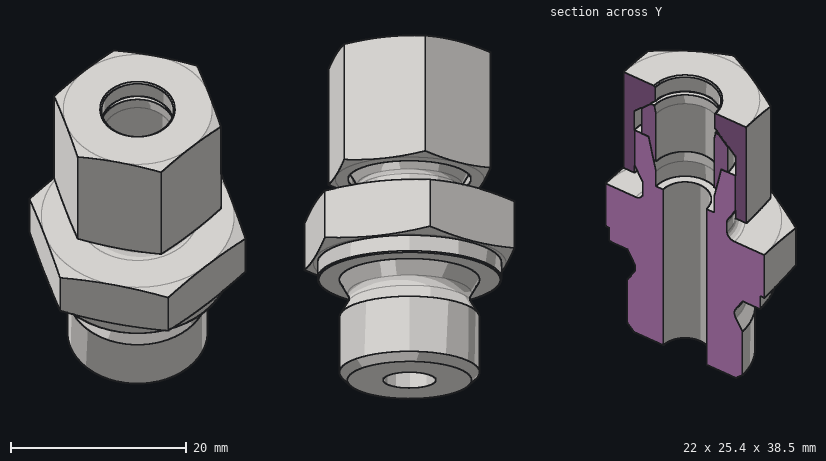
import cadquery as cq
import math


STUD_LENGTH = 12.0
FLANGE_HEIGHT = 2.0
HEX_HEIGHT = 6.5
CONE_STUB_LENGTH = 10.0
flange_top = STUD_LENGTH + FLANGE_HEIGHT
hex_top = flange_top + HEX_HEIGHT
body_top = hex_top + CONE_STUB_LENGTH

STUD_RADIUS = 16.0 / 2
STUD_CHAMFER = 0.92
FLANGE_RADIUS = 21.0 / 2
FLANGE_CHAMFER = 0.15
GROOVE_WIDTH = 4.5
GROOVE_FILLET = 1.22
RELIEF_ANGLE = math.radians(30.0)

BODY_HEX_FLATS = 22.0
NUT_HEX_FLATS = 17.0
HEX_CHAMFER_ANGLE = math.radians(15.0)

STUB_RADIUS = 14.0 / 2
NECK_RADIUS = 11.7 / 2
NECK_FILLET = 1.0
NECK_STRAIGHT = 1.37

BORE_RADIUS = 6.0 / 2
TUBE_RADIUS = 8.0 / 2
SOCKET_DEPTH = 7.0
MOUTH_RADIUS = 10.0 / 2
MOUTH_ANGLE = math.radians(12.0)

NUT_BOTTOM = 24.0
NUT_HEIGHT = 14.5
NUT_BORE_RADIUS = 4.1
NUT_BORE_DEPTH = 2.3
NUT_RIM_CHAMFER = 0.18
nut_top = NUT_BOTTOM + NUT_HEIGHT
nut_seat_top = nut_top - NUT_BORE_DEPTH

RING_COLLAR_RADIUS = 12.0 / 2
RING_GAP = 0.65
RING_LEAD_RADIUS = 4.22
RING_LEAD_DEPTH = 1.1
RING_NOSE_RADIUS = 4.3


def revolve_z(profile):
    """Turn a closed (radius, height) profile about the Z axis."""
    return profile.close().revolve(360, (0, 0, 0), (0, 1, 0))


def profile_from(radius, height):
    return cq.Workplane("XZ").moveTo(radius, height)


def chamfered_hexagon(flats, bottom, height):
    """Hexagon with two flats facing +X and -X, its corners turned off at both ends."""
    inscribed = flats / 2
    corner = inscribed / math.cos(math.radians(30))
    drop = (corner - inscribed) * math.tan(HEX_CHAMFER_ANGLE)
    top = bottom + height
    prism = (
        cq.Workplane("XY", origin=(0, 0, bottom))
        .polygon(6, 2 * corner)
        .extrude(height)
        .rotate((0, 0, 0), (0, 0, 1), 30)
    )
    turned = revolve_z(
        profile_from(0, bottom)
        .lineTo(inscribed, bottom)
        .lineTo(corner, bottom + drop)
        .lineTo(corner, top - drop)
        .lineTo(inscribed, top)
        .lineTo(0, top)
    )
    return prism.intersect(turned)


def make_stud():
    """Stud and flange, with a rounded V groove between them."""
    groove_middle = STUD_LENGTH - GROOVE_WIDTH / 2
    apex_radius = STUD_RADIUS - GROOVE_WIDTH / 2 * math.tan(RELIEF_ANGLE)
    arc_center_radius = apex_radius + GROOVE_FILLET / math.cos(RELIEF_ANGLE)
    arc_end_radius = arc_center_radius - GROOVE_FILLET * math.cos(RELIEF_ANGLE)
    arc_half_height = GROOVE_FILLET * math.sin(RELIEF_ANGLE)
    return revolve_z(
        profile_from(0, 0)
        .lineTo(STUD_RADIUS - STUD_CHAMFER, 0)
        .lineTo(STUD_RADIUS, STUD_CHAMFER)
        .lineTo(STUD_RADIUS, STUD_LENGTH - GROOVE_WIDTH)
        .lineTo(arc_end_radius, groove_middle - arc_half_height)
        .threePointArc(
            (arc_center_radius - GROOVE_FILLET, groove_middle),
            (arc_end_radius, groove_middle + arc_half_height),
        )
        .lineTo(STUD_RADIUS, STUD_LENGTH)
        .lineTo(FLANGE_RADIUS - FLANGE_CHAMFER, STUD_LENGTH)
        .lineTo(FLANGE_RADIUS, STUD_LENGTH + FLANGE_CHAMFER)
        .lineTo(FLANGE_RADIUS, flange_top)
        .lineTo(0, flange_top)
    )


def make_stub():
    """Threaded stub, with a filleted relief neck just above the hexagon."""
    neck_bottom = hex_top + NECK_FILLET
    neck_top = neck_bottom + NECK_STRAIGHT
    arc_center_radius = NECK_RADIUS + NECK_FILLET

    def neck_arc_point(angle, height):
        return (
            arc_center_radius - NECK_FILLET * math.cos(angle),
            height + NECK_FILLET * math.sin(angle),
        )

    flank_start = neck_arc_point(RELIEF_ANGLE, neck_top)
    flank_top = flank_start[1] + (STUB_RADIUS - flank_start[0]) / math.tan(RELIEF_ANGLE)
    return revolve_z(
        profile_from(0, hex_top)
        .lineTo(arc_center_radius, hex_top)
        .threePointArc(neck_arc_point(-math.pi / 4, neck_bottom), (NECK_RADIUS, neck_bottom))
        .lineTo(NECK_RADIUS, neck_top)
        .threePointArc(neck_arc_point(RELIEF_ANGLE / 2, neck_top), flank_start)
        .lineTo(STUB_RADIUS, flank_top)
        .lineTo(STUB_RADIUS, body_top)
        .lineTo(0, body_top)
    )


def make_tube_passage():
    """Through bore, tube socket and the conical mouth for the cutting ring."""
    socket_floor = body_top - SOCKET_DEPTH
    mouth_bottom = body_top - (MOUTH_RADIUS - TUBE_RADIUS) / math.tan(MOUTH_ANGLE)
    return revolve_z(
        profile_from(0, 0)
        .lineTo(BORE_RADIUS, 0)
        .lineTo(BORE_RADIUS, socket_floor)
        .lineTo(TUBE_RADIUS, socket_floor)
        .lineTo(TUBE_RADIUS, mouth_bottom)
        .lineTo(MOUTH_RADIUS, body_top)
        .lineTo(0, body_top)
    )


def make_body():
    hexagon = chamfered_hexagon(BODY_HEX_FLATS, flange_top, HEX_HEIGHT)
    return make_stud().union(hexagon).union(make_stub()).cut(make_tube_passage())


def make_nut():
    """Hexagon nut over the stub, with a 45 degree seat that presses on the ring."""
    seat_bottom = nut_seat_top - (STUB_RADIUS - NUT_BORE_RADIUS)
    cavity = revolve_z(
        profile_from(0, NUT_BOTTOM)
        .lineTo(STUB_RADIUS, NUT_BOTTOM)
        .lineTo(STUB_RADIUS, seat_bottom)
        .lineTo(NUT_BORE_RADIUS, nut_seat_top)
        .lineTo(NUT_BORE_RADIUS, nut_top - NUT_RIM_CHAMFER)
        .lineTo(NUT_BORE_RADIUS + NUT_RIM_CHAMFER, nut_top)
        .lineTo(0, nut_top)
    )
    return chamfered_hexagon(NUT_HEX_FLATS, NUT_BOTTOM, NUT_HEIGHT).cut(cavity)


def make_cutting_ring():
    """Ring with its collar on the body's end face and its nose in the conical mouth."""
    ring_top = nut_seat_top - RING_GAP
    shoulder_height = nut_seat_top - (RING_COLLAR_RADIUS - NUT_BORE_RADIUS)
    nose_bottom = body_top - (MOUTH_RADIUS - RING_NOSE_RADIUS) / math.tan(MOUTH_ANGLE)
    return revolve_z(
        profile_from(TUBE_RADIUS, nose_bottom)
        .lineTo(RING_NOSE_RADIUS, nose_bottom)
        .lineTo(MOUTH_RADIUS, body_top)
        .lineTo(RING_COLLAR_RADIUS, body_top)
        .lineTo(RING_COLLAR_RADIUS, shoulder_height)
        .lineTo(NUT_BORE_RADIUS + RING_GAP, ring_top)
        .lineTo(RING_LEAD_RADIUS, ring_top)
        .lineTo(TUBE_RADIUS, ring_top - RING_LEAD_DEPTH)
    )


body = make_body()
cutting_ring = make_cutting_ring()
nut = make_nut()

parts = [body, cutting_ring, nut]
result = cq.Compound.makeCompound([part.solids().val() for part in parts])